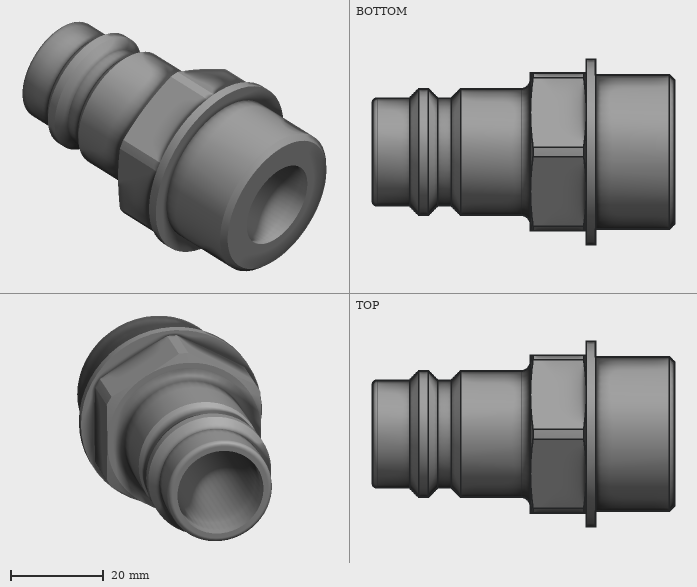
import cadquery as cq
import math

TOTAL_LENGTH = 65.0
X_TIP = -TOTAL_LENGTH / 2
BORE_DIAMETER = 19.0

NECK_RADIUS = 23.15 / 2
SHANK_RADIUS = 27.2 / 2
CONE_RISE = SHANK_RADIUS - NECK_RADIUS
CONE_LENGTH = 2.0
TIP_ROUNDING = 1.0
COLLAR_START = 8.0
COLLAR_LAND = 2.0
SHANK_START = 17.0
ROOT_FILLET = 2.0

HEX_START = 34.0
HEX_LENGTH = 12.0
HEX_ACROSS_FLATS = 34.0
HEX_CORNER_DIAMETER = 38.1
HEX_BEVEL_ANGLE = 15.0

WASHER_DIAMETER = 40.0
WASHER_THICKNESS = 2.0

SPIGOT_RADIUS = 33.25 / 2
SPIGOT_CHAMFER = 1.15

HEX_END = HEX_START + HEX_LENGTH


def revolve_about_x(profile):
    """Turn a closed (axial, radial) profile about the X axis."""
    return profile.revolve(360, (0, 0, 0), (1, 0, 0))


def make_plug_end():
    """Rounded tip, double-coned locking collar, groove and shank with a root fillet."""
    collar_end = COLLAR_START + 2 * CONE_LENGTH + COLLAR_LAND
    diagonal = math.sqrt(0.5)
    tip_mid = (
        TIP_ROUNDING * (1 - diagonal),
        NECK_RADIUS - TIP_ROUNDING * (1 - diagonal),
    )
    root_mid = (
        HEX_START - ROOT_FILLET * (1 - diagonal),
        SHANK_RADIUS + ROOT_FILLET * (1 - diagonal),
    )
    profile = (
        cq.Workplane("XY")
        .lineTo(0, NECK_RADIUS - TIP_ROUNDING)
        .threePointArc(tip_mid, (TIP_ROUNDING, NECK_RADIUS))
        .lineTo(COLLAR_START, NECK_RADIUS)
        .line(CONE_LENGTH, CONE_RISE)
        .line(COLLAR_LAND, 0)
        .lineTo(collar_end, NECK_RADIUS)
        .lineTo(SHANK_START, NECK_RADIUS)
        .line(CONE_LENGTH, CONE_RISE)
        .lineTo(HEX_START - ROOT_FILLET, SHANK_RADIUS)
        .threePointArc(root_mid, (HEX_START, SHANK_RADIUS + ROOT_FILLET))
        .lineTo(HEX_START, 0)
        .close()
    )
    return revolve_about_x(profile)


def make_hexagon():
    """Hexagon with corners at +Z and -Z, trimmed by a turned double-bevelled blank."""
    flat_radius = HEX_ACROSS_FLATS / 2
    corner_radius = HEX_CORNER_DIAMETER / 2
    bevel_length = (corner_radius - flat_radius) * math.tan(math.radians(HEX_BEVEL_ANGLE))
    prism = (
        cq.Workplane("YZ", origin=(HEX_START, 0, 0))
        .polygon(6, HEX_ACROSS_FLATS, circumscribed=True)
        .extrude(HEX_LENGTH)
    )
    blank = revolve_about_x(
        cq.Workplane("XY")
        .moveTo(HEX_START, 0)
        .lineTo(HEX_START, flat_radius)
        .lineTo(HEX_START + bevel_length, corner_radius)
        .lineTo(HEX_END - bevel_length, corner_radius)
        .lineTo(HEX_END, flat_radius)
        .lineTo(HEX_END, 0)
        .close()
    )
    return prism.intersect(blank)


def make_spigot():
    """Cylinder that carries the washer, chamfered at its free end."""
    return (
        cq.Workplane("YZ", origin=(HEX_END, 0, 0))
        .circle(SPIGOT_RADIUS)
        .extrude(TOTAL_LENGTH - HEX_END)
        .faces(">X")
        .chamfer(SPIGOT_CHAMFER)
    )


def make_nipple():
    """One-piece fitting with a plain through bore."""
    bore = cq.Workplane("YZ").circle(BORE_DIAMETER / 2).extrude(TOTAL_LENGTH)
    return make_plug_end().union(make_hexagon()).union(make_spigot()).cut(bore)


def make_washer():
    """Flat ring around the spigot, seated on the hexagon."""
    return (
        cq.Workplane("YZ", origin=(HEX_END, 0, 0))
        .circle(WASHER_DIAMETER / 2)
        .circle(SPIGOT_RADIUS)
        .extrude(WASHER_THICKNESS)
    )


nipple = make_nipple().translate((X_TIP, 0, 0))
washer = make_washer().translate((X_TIP, 0, 0))

result = cq.Compound.makeCompound([nipple.val(), washer.val()])